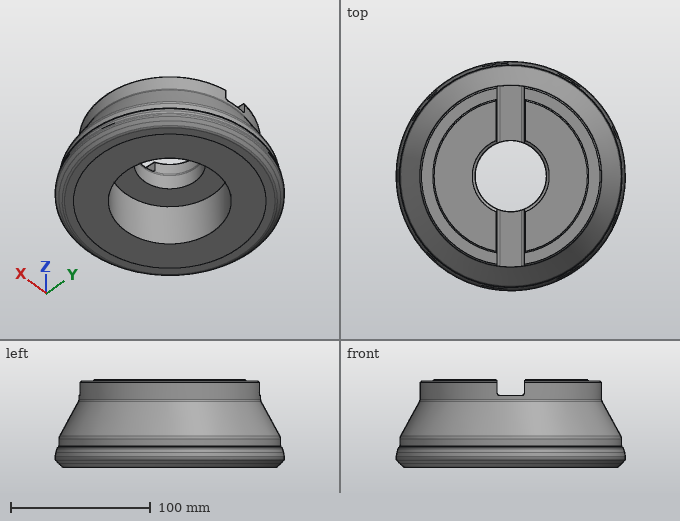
import cadquery as cq

outer_diameter = 164.1
total_height = 63.0

neck_diameter = 130.0
skirt_diameter = 158.7
cone_top_z = 48.1
cone_bottom_z = 21.7
neck_fillet = 2.6
skirt_fillet = 5.0
rim_chamfer = 1.1

land_diameter = 111.6
land_height = 1.0
land_bevel_angle = 45.0

bore_diameter = 50.9
bore_chamfer_width = 2.1
bore_chamfer_depth = 1.6
bore_end_depth = 11.5
relief_diameter = 51.0
relief_start_depth = 12.8
recess_diameter = 88.0
recess_ceiling_depth = 26.0

slot_width = 19.4
slot_depth = 11.3
slot_corner_radius = 2.0

ring_height = 15.5
seat_diameter = 137.9
ring_top_radius = 79.8
lip_height = 0.57
shoulder_radius = 80.8
shoulder_z = 13.8
shoulder_fillet = 1.3
upper_break_radius = 81.5
upper_break_z = 10.8
belt_top_z = 7.9
belt_top_fillet = 2.5
belt_bottom_z = 5.7
belt_bottom_fillet = 1.6
lower_break_radius = 79.5
lower_break_z = 3.0
base_radius = 76.3
base_fillet = 2.5

outer_radius = outer_diameter / 2
neck_radius = neck_diameter / 2
skirt_radius = skirt_diameter / 2
bore_radius = bore_diameter / 2
relief_radius = relief_diameter / 2
recess_radius = recess_diameter / 2
seat_radius = seat_diameter / 2
deck_z = total_height - land_height
recess_ceiling_z = total_height - recess_ceiling_depth


def revolve_profile(points):
    """Turn a closed (radius, height) outline around Z."""
    return cq.Workplane("XZ").polyline(points).close().revolve(360, (0, 0, 0), (0, 1, 0))


def fillet_circle(body, radius, z, fillet_radius):
    """Round the circular edge that has the given radius and height."""
    margin = 0.08
    reach = radius + margin
    around_edge = cq.selectors.BoxSelector(
        (-reach, -reach, z - margin), (reach, reach, z + margin), boundingbox=True
    )
    inside_edge = cq.selectors.BoxSelector(
        (margin - radius, margin - radius, z - margin),
        (radius - margin, radius - margin, z + margin),
        boundingbox=True,
    )
    return body.edges(around_edge - inside_edge).fillet(fillet_radius)


def make_hub_blank():
    """Solid outside shape of the hub, from the spigot up to the deck."""
    body = revolve_profile([
        (0, 0),
        (seat_radius, 0),
        (seat_radius, ring_height),
        (skirt_radius, ring_height),
        (skirt_radius, cone_bottom_z),
        (neck_radius, cone_top_z),
        (neck_radius, deck_z),
        (0, deck_z),
    ])
    body = fillet_circle(body, neck_radius, cone_top_z, neck_fillet)
    body = fillet_circle(body, skirt_radius, cone_bottom_z, skirt_fillet)
    return body.faces(">Z").chamfer(rim_chamfer)


def make_land():
    """Raised disc, split in two by the slot, with every side bevelled."""
    halves = (
        cq.Sketch()
        .circle(land_diameter / 2)
        .rect(slot_width, outer_diameter, mode="s")
    )
    deck = cq.Workplane("XY").workplane(offset=deck_z)
    return deck.placeSketch(halves).extrude(land_height, taper=land_bevel_angle)


def make_slot_cutter():
    """Bar with rounded lower edges that clears the drive slot."""
    floor = cq.Workplane("XY").workplane(offset=total_height - slot_depth)
    bar = floor.rect(slot_width, outer_diameter).extrude(slot_depth)
    return bar.edges("|Y and <Z").fillet(slot_corner_radius)


def make_bore_cutter():
    """Chamfered bore, its slightly wider relief and the recess below."""
    return revolve_profile([
        (0, 0),
        (recess_radius, 0),
        (recess_radius, recess_ceiling_z),
        (relief_radius, recess_ceiling_z),
        (relief_radius, total_height - relief_start_depth),
        (bore_radius, total_height - bore_end_depth),
        (bore_radius, total_height - bore_chamfer_depth),
        (bore_radius + bore_chamfer_width, total_height),
        (0, total_height),
    ])


def make_hub():
    body = make_hub_blank().cut(make_slot_cutter())
    body = body.union(make_land())
    return body.cut(make_bore_cutter())


def make_ring():
    body = revolve_profile([
        (seat_radius, 0),
        (base_radius, 0),
        (lower_break_radius, lower_break_z),
        (outer_radius, belt_bottom_z),
        (outer_radius, belt_top_z),
        (upper_break_radius, upper_break_z),
        (shoulder_radius, shoulder_z),
        (ring_top_radius, ring_height - lip_height),
        (ring_top_radius, ring_height),
        (seat_radius, ring_height),
    ])
    body = fillet_circle(body, shoulder_radius, shoulder_z, shoulder_fillet)
    body = fillet_circle(body, outer_radius, belt_top_z, belt_top_fillet)
    body = fillet_circle(body, outer_radius, belt_bottom_z, belt_bottom_fillet)
    return fillet_circle(body, base_radius, 0, base_fillet)


hub = make_hub().solids()
ring = make_ring().solids()
result = cq.Compound.makeCompound([hub.val(), ring.val()])